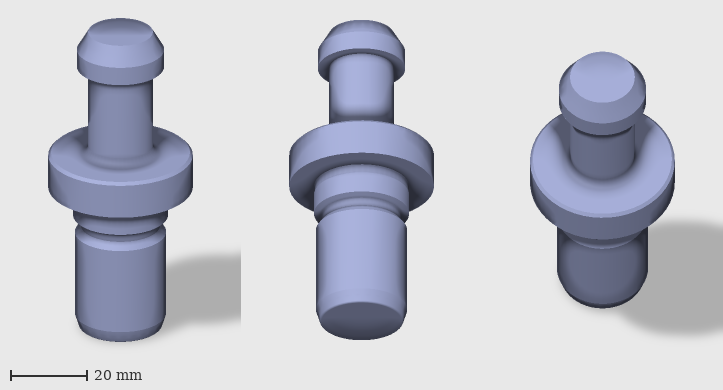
import cadquery as cq

flange_radius = 19.0
stem_radius = 8.5
head_radius = 11.5
collar_radius = 12.5
relief_radius = 12.3
neck_radius = 10.45
shank_radius = 12.0
shank_tip_radius = 10.9

total_height = 85.0
shank_tip_height = 3.5
shank_top = 27.0
neck_bottom = 29.0
neck_top = 31.0
collar_bottom = 32.0
flange_bottom = 40.0
flange_top = 50.1
head_cone_height = 5.0
head_rim_height = 5.0

flange_chamfer = 0.8
stem_fillet = 2.0
tip_fillet = 0.5
neck_fillet = 0.5
relief_width = 2.5
relief_taper = 0.4


def cylinder(radius, bottom, top):
    return cq.Workplane("XY").workplane(offset=bottom).circle(radius).extrude(top - bottom)


def cone(bottom_radius, top_radius, bottom, top):
    profile = [(0, bottom), (bottom_radius, bottom), (top_radius, top), (0, top)]
    return cq.Workplane("XZ").polyline(profile).close().revolve(360, (0, 0), (0, 1))


shank_tip = cone(shank_tip_radius, shank_radius, 0, shank_tip_height).faces("<Z").edges().fillet(tip_fillet)
shank = cylinder(shank_radius, shank_tip_height, shank_top)
shank_shoulder = cone(shank_radius, neck_radius, shank_top, neck_bottom)

neck = cylinder(neck_radius, neck_bottom, neck_top)
collar_shoulder = cone(neck_radius, collar_radius, neck_top, collar_bottom)
neck_corner = cq.NearestToPointSelector((0, 0, neck_top))
grooved_neck = neck.union(collar_shoulder).edges(neck_corner).fillet(neck_fillet)

relief_bottom = flange_bottom - relief_width
relief_top = flange_bottom - relief_taper
collar = cylinder(collar_radius, collar_bottom, relief_bottom)
relief_lower_taper = cone(collar_radius, relief_radius, relief_bottom, relief_bottom + relief_taper)
relief = cylinder(relief_radius, relief_bottom + relief_taper, relief_top)
relief_upper_taper = cone(relief_radius, collar_radius, relief_top, flange_bottom)

flange = cylinder(flange_radius, flange_bottom, flange_top).faces(">Z").edges().chamfer(flange_chamfer)

head_bottom = total_height - head_cone_height - head_rim_height
stem = cylinder(stem_radius, flange_top, head_bottom)
stem_root = (
    cq.Workplane("XZ")
    .moveTo(0, flange_top)
    .lineTo(stem_radius + stem_fillet, flange_top)
    .radiusArc((stem_radius, flange_top + stem_fillet), stem_fillet)
    .lineTo(0, flange_top + stem_fillet)
    .close()
    .revolve(360, (0, 0), (0, 1))
)

head_rim = cylinder(head_radius, head_bottom, total_height - head_cone_height)
head_cone = cone(head_radius, stem_radius, total_height - head_cone_height, total_height)

sections = [
    shank, shank_shoulder, grooved_neck, collar, relief_lower_taper,
    relief, relief_upper_taper, flange, stem, stem_root, head_rim, head_cone,
]
result = shank_tip
for section in sections:
    result = result.union(section)